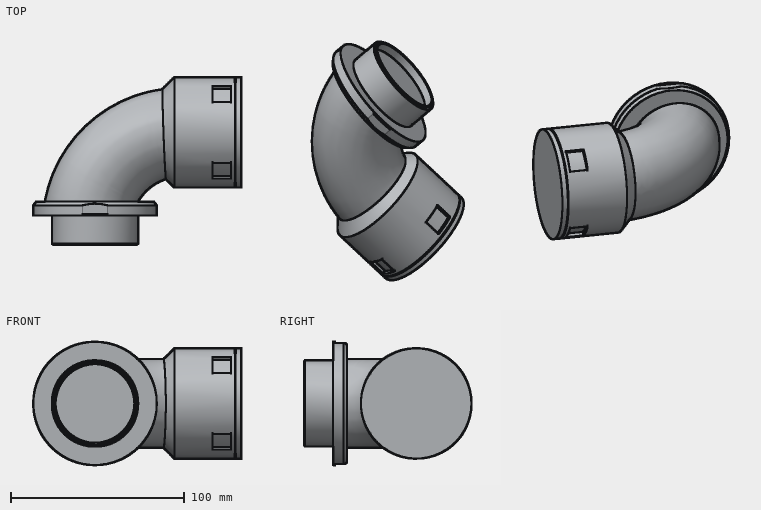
import cadquery as cq

spigot_diameter = 50.0
bore_diameter = 45.5
bore_depth = 5.3
spigot_length = 17.0
spigot_chamfer_axial = 0.7
spigot_chamfer_radial = 1.1
flange_diameter = 71.5
flange_thickness = 8.0
flange_chamfer_axial = 2.2
flange_chamfer_radial = 1.7
flat_across = 70.0
flat_lip = 1.0

tube_diameter = 51.5
bend_radius = 54.1

overall_length = 120.3
sleeve_diameter = 64.0
sleeve_axis_y = 65.0
sleeve_length = 38.7
cone_length = 7.9
bend_end_inset = 35.0
groove_inset = 3.2
groove_width = 0.5
groove_diameter = 58.0
window_count = 4
first_window_angle = 45.0
window_length = 10.6
window_width = 13.0
window_inset = 6.0
window_floor_diameter = 59.7

sleeve_end_x = overall_length - flange_diameter / 2
sleeve_start_x = sleeve_end_x - sleeve_length
flange_back_y = spigot_length + flange_thickness
bend_centre_x = sleeve_end_x - bend_end_inset


def cylinder_along_y(diameter, start, length):
    return cq.Workplane("XZ", origin=(0, start, 0)).circle(diameter / 2).extrude(-length)


def cylinder_along_x(diameter, start, length):
    return cq.Workplane("YZ", origin=(start, sleeve_axis_y, 0)).circle(diameter / 2).extrude(length)


def make_spigot():
    """Chamfered spigot, closed behind a shallow bore."""
    spigot_radius = spigot_diameter / 2
    profile = [
        (0, 0),
        (spigot_radius - spigot_chamfer_radial, 0),
        (spigot_radius, spigot_chamfer_axial),
        (spigot_radius, spigot_length),
        (0, spigot_length),
    ]
    spigot = cq.Workplane("XY").polyline(profile).close().revolve(360, (0, 0), (0, 1))
    return spigot.cut(cylinder_along_y(bore_diameter, 0, bore_depth))


def make_flange():
    """Flange with a conical back edge and a flat at +Z and -Z above a thin lip."""
    rim = flange_diameter / 2
    profile = [
        (0, spigot_length),
        (rim, spigot_length),
        (rim, flange_back_y - flange_chamfer_axial),
        (rim - flange_chamfer_radial, flange_back_y),
        (0, flange_back_y),
    ]
    flange = cq.Workplane("XY").polyline(profile).close().revolve(360, (0, 0), (0, 1))
    lip = cylinder_along_y(flange_diameter, spigot_length, flat_lip)
    between_flats = cq.Workplane("XY").box(flange_diameter, 2 * flange_back_y, flat_across)
    return flange.intersect(between_flats).union(lip)


def make_elbow():
    """Quarter-torus tube, trimmed where it enters the flange."""
    bend = (
        cq.Workplane("YZ", origin=(bend_centre_x, sleeve_axis_y, 0))
        .circle(tube_diameter / 2)
        .revolve(90, (-bend_radius, 0), (-bend_radius, 1))
    )
    trim_y = spigot_length + flange_thickness / 2
    trim = cq.Workplane("XY").box(2 * overall_length, 2 * trim_y, 2 * tube_diameter)
    return bend.cut(trim)


def make_sleeve():
    """Cylindrical sleeve with a 45 degree entry cone, an end groove and locking windows."""
    sleeve_radius = sleeve_diameter / 2
    profile = [
        (sleeve_start_x - cone_length, sleeve_axis_y),
        (sleeve_start_x - cone_length, sleeve_axis_y + sleeve_radius - cone_length),
        (sleeve_start_x, sleeve_axis_y + sleeve_radius),
        (sleeve_end_x, sleeve_axis_y + sleeve_radius),
        (sleeve_end_x, sleeve_axis_y),
    ]
    sleeve = (
        cq.Workplane("XY")
        .polyline(profile)
        .close()
        .revolve(360, (0, sleeve_axis_y), (1, sleeve_axis_y))
    )

    groove_start = sleeve_end_x - groove_inset - groove_width
    groove_core = cylinder_along_x(groove_diameter, groove_start, groove_width)
    groove = cylinder_along_x(sleeve_diameter, groove_start, groove_width).cut(groove_core)
    sleeve = sleeve.cut(groove)

    window_start = sleeve_end_x - window_inset - window_length
    window_core = cylinder_along_x(window_floor_diameter, window_start, window_length)
    for index in range(window_count):
        angle = first_window_angle + index * 360 / window_count
        window = (
            cq.Workplane("XY", origin=(window_start, sleeve_axis_y, 0))
            .box(window_length, window_width, sleeve_diameter, centered=(False, True, False))
            .rotate((0, sleeve_axis_y, 0), (1, sleeve_axis_y, 0), angle)
        )
        sleeve = sleeve.cut(window.cut(window_core))
    return sleeve


result = make_sleeve().union(make_elbow()).union(make_flange()).union(make_spigot())